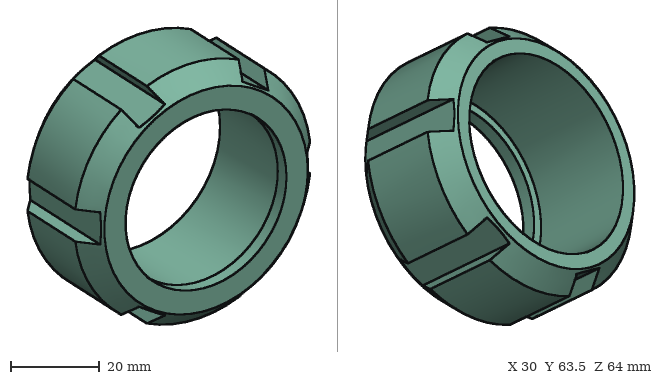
import cadquery as cq
import math

width = 30.0
outer_diameter = 64.0
end_face_diameter = 55.0
chamfer_angle = 40.0
main_bore_diameter = 47.86
lip_bore_diameter = 43.5
lip_thickness = 3.5

slot_count = 6
slot_width = 8.0
slot_floor_radius = 28.0

outer_radius = outer_diameter / 2
end_face_radius = end_face_diameter / 2
half_width = width / 2
chamfer_length = (outer_radius - end_face_radius) / math.tan(math.radians(chamfer_angle))
shoulder_x = half_width - chamfer_length
lip_inner_x = half_width - lip_thickness


def nut_ring():
    """Revolved ring with conical outer edges and a narrow lip at the +X end."""
    main_bore_radius = main_bore_diameter / 2
    lip_bore_radius = lip_bore_diameter / 2
    profile = (
        cq.Workplane("XY")
        .moveTo(-half_width, main_bore_radius)
        .lineTo(-half_width, end_face_radius)
        .lineTo(-shoulder_x, outer_radius)
        .lineTo(shoulder_x, outer_radius)
        .lineTo(half_width, end_face_radius)
        .lineTo(half_width, lip_bore_radius)
        .lineTo(lip_inner_x, lip_bore_radius)
        .lineTo(lip_inner_x, main_bore_radius)
        .close()
    )
    return profile.revolve(360, (0, 0, 0), (1, 0, 0))


def slot_cutter(angle):
    """Flat-floored spanner slot along X, turned by angle about X from the +Y direction."""
    cutter_height = outer_radius
    return (
        cq.Workplane("XY")
        .box(width, cutter_height, slot_width)
        .translate((0, slot_floor_radius + cutter_height / 2, 0))
        .rotate((0, 0, 0), (1, 0, 0), angle)
    )


result = nut_ring()
for index in range(slot_count):
    result = result.cut(slot_cutter(index * 360 / slot_count))